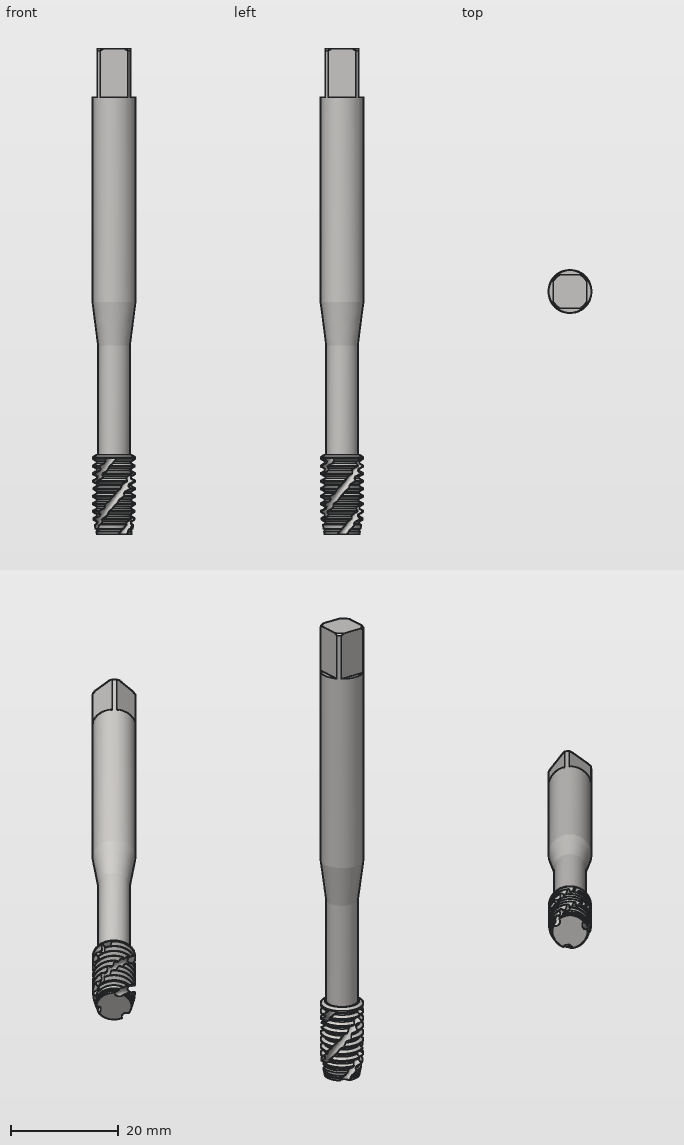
import cadquery as cq
import math

TOTAL_LENGTH = 90.0
SQUARE_LENGTH = 9.0
TAPER_TOP = 43.0
TAPER_BOTTOM = 35.0
HEAD_LENGTH = 14.8

SHANK_DIAMETER = 8.0
NECK_DIAMETER = 5.9
SQUARE_SIDE = 6.2
END_CHAMFER = 0.4

THREAD_DIAMETER = 7.9
GROOVE_COUNT = 10
GROOVE_SPAN = 12.6
PITCH = GROOVE_SPAN / (GROOVE_COUNT - 1)
CREST_WIDTH = PITCH / 8
ROOT_WIDTH = PITCH / 4
FLANK_HALF_ANGLE = 30.0
FLANK_RUN = (PITCH - CREST_WIDTH - ROOT_WIDTH) / 2
THREAD_DEPTH = FLANK_RUN / math.tan(math.radians(FLANK_HALF_ANGLE))
FIRST_GROOVE_Z = HEAD_LENGTH - PITCH

TIP_DIAMETER = 6.5
LEAD_IN_LENGTH = 3.5

FLUTE_COUNT = 3
FLUTE_HELIX_ANGLE = 45.0
FLUTE_LEAD = math.pi * THREAD_DIAMETER / math.tan(math.radians(FLUTE_HELIX_ANGLE))
FLUTE_FLOOR_RADIUS = 0.9
FLUTE_CORE_RADIUS = 2.5
FLUTE_WALL_ANGLE = 15.0
FLUTE_OUTER_RADIUS = 4.5
FLUTE_START_ANGLE = 180.0
FLUTE_TOP = HEAD_LENGTH - FLANK_RUN - CREST_WIDTH
TIP_OVERRUN = 2.7


def make_shank():
    """Neck, taper and round shank as one revolved solid with a chamfered square drive end."""
    shank_radius = SHANK_DIAMETER / 2
    neck_radius = NECK_DIAMETER / 2
    body = (
        cq.Workplane("XZ")
        .moveTo(0, HEAD_LENGTH)
        .lineTo(neck_radius, HEAD_LENGTH)
        .lineTo(neck_radius, TAPER_BOTTOM)
        .lineTo(shank_radius, TAPER_TOP)
        .lineTo(shank_radius, TOTAL_LENGTH - END_CHAMFER)
        .lineTo(shank_radius - END_CHAMFER, TOTAL_LENGTH)
        .lineTo(0, TOTAL_LENGTH)
        .close()
        .revolve(360, (0, 0, 0), (0, 1, 0))
    )
    square_waste = (
        cq.Workplane("XY", origin=(0, 0, TOTAL_LENGTH - SQUARE_LENGTH))
        .circle(SHANK_DIAMETER)
        .rect(SQUARE_SIDE, SQUARE_SIDE)
        .extrude(SQUARE_LENGTH)
    )
    return body.cut(square_waste)


def make_head_blank():
    """Round blank with a lead-in cone at the tip and a thread flank at its top edge."""
    thread_radius = THREAD_DIAMETER / 2
    return (
        cq.Workplane("XZ")
        .lineTo(TIP_DIAMETER / 2, 0)
        .lineTo(thread_radius, LEAD_IN_LENGTH)
        .lineTo(thread_radius, HEAD_LENGTH - FLANK_RUN)
        .lineTo(thread_radius - THREAD_DEPTH, HEAD_LENGTH)
        .lineTo(0, HEAD_LENGTH)
        .close()
        .revolve(360, (0, 0, 0), (0, 1, 0))
    )


def make_thread_groove(center_z):
    """Ring with the trapezoidal section of the gap between two thread ridges."""
    thread_radius = THREAD_DIAMETER / 2
    half_root = ROOT_WIDTH / 2
    half_mouth = half_root + FLANK_RUN
    return (
        cq.Workplane("XZ")
        .moveTo(thread_radius - THREAD_DEPTH, center_z - half_root)
        .lineTo(thread_radius, center_z - half_mouth)
        .lineTo(thread_radius, center_z + half_mouth)
        .lineTo(thread_radius - THREAD_DEPTH, center_z + half_root)
        .close()
        .revolve(360, (0, 0, 0), (0, 1, 0))
    )


def make_flute(start_angle):
    """Right-hand helical cutter with a round floor and flaring walls, open at the tip."""
    length = FLUTE_TOP + TIP_OVERRUN
    twist = 360 * length / FLUTE_LEAD
    overrun_angle = 360 * TIP_OVERRUN / FLUTE_LEAD
    wall_angle = math.radians(FLUTE_WALL_ANGLE)
    floor_center = FLUTE_CORE_RADIUS + FLUTE_FLOOR_RADIUS
    tangent_x = floor_center - FLUTE_FLOOR_RADIUS * math.sin(wall_angle)
    tangent_y = FLUTE_FLOOR_RADIUS * math.cos(wall_angle)
    mouth_y = tangent_y + (FLUTE_OUTER_RADIUS - tangent_x) * math.tan(wall_angle)
    return (
        cq.Workplane("XY", origin=(0, 0, -TIP_OVERRUN))
        .moveTo(FLUTE_OUTER_RADIUS, -mouth_y)
        .lineTo(tangent_x, -tangent_y)
        .threePointArc((FLUTE_CORE_RADIUS, 0), (tangent_x, tangent_y))
        .lineTo(FLUTE_OUTER_RADIUS, mouth_y)
        .close()
        .twistExtrude(length, twist)
        .rotate((0, 0, 0), (0, 0, 1), start_angle - overrun_angle)
    )


def make_cutting_head():
    """Ring-grooved thread with equally spaced helical flutes."""
    head = make_head_blank()
    for index in range(GROOVE_COUNT):
        head = head.cut(make_thread_groove(FIRST_GROOVE_Z - index * PITCH))
    for index in range(FLUTE_COUNT):
        head = head.cut(make_flute(FLUTE_START_ANGLE + index * 360 / FLUTE_COUNT))
    return head


shank = make_shank()
cutting_head = make_cutting_head()

result = cq.Compound.makeCompound([shank.val(), *cutting_head.vals()])